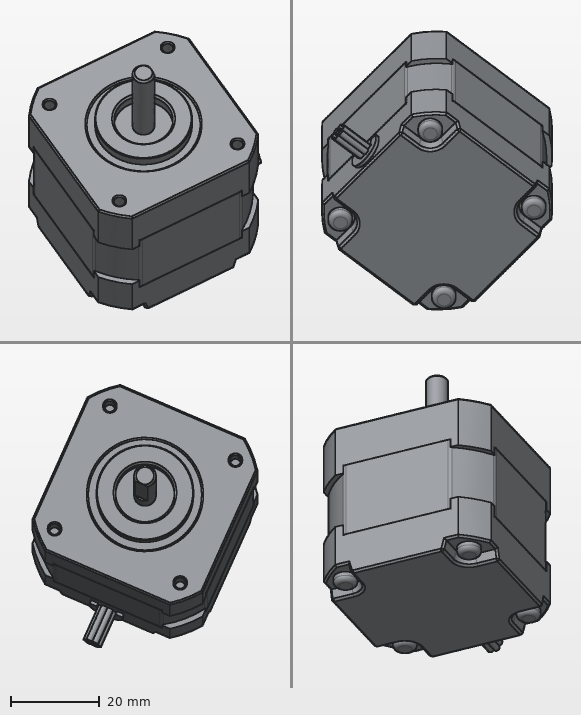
import cadquery as cq
import math

BODY_WIDTH = 42.0
BODY_HEIGHT = 39.0
BODY_CORNER_RADIUS = 26.04
BODY_EDGE_CHAMFER = 0.5
TOP_EDGE_CHAMFER = 0.4

STACK_BOTTOM = 13.0
STACK_TOP = 26.6
STACK_CORNER_RADIUS = 24.78
STACK_WIDTH = 41.9
STACK_BLEND_RADIUS = 1.6
WINDOW_WIDTH = 26.9
WINDOW_BOTTOM = 10.45
WINDOW_TOP = 28.65

BOSS_RADIUS = 11.0
BOSS_HEIGHT = 2.1
BOSS_EDGE_CHAMFER = 0.2
GROOVE_RADIUS = 13.2
GROOVE_DEPTH = 0.3
GROOVE_TAPER = 0.4
RECESS_RADIUS = 7.15
RECESS_TAPER = 0.5
RECESS_DEPTH = 2.75

SHAFT_RADIUS = 2.5
SHAFT_TOP = 59.0
SHAFT_CHAMFER = 0.5
FLAT_BOTTOM = 43.7
FLAT_DEPTH = 0.5

HOLE_SPACING = 31.0
HOLE_RADIUS = 1.25
HOLE_DEPTH = 4.5
HOLE_CHAMFER = 0.35

NOTCH_HEIGHT = 2.6
NOTCH_INNER_TOP = 12.25
NOTCH_INNER_BOTTOM = 11.55
NOTCH_SPAN = 20.0
SCREW_RADIUS = 2.75
SCREW_HEIGHT = 2.1
SCREW_ROUNDING = 1.2

CABLE_END = 29.6
GROMMET_HALF_WIDTH = 4.05
GROMMET_FACE = 21.85
GROMMET_CENTER_Z = 5.45
GROMMET_TOP = 7.6
SLOT_WIDTH = 4.6
WIRE_COUNT = 6
WIRE_RADIUS = 0.76
BUNDLE_RADIUS = 1.42
BUNDLE_CENTER_Z = 5.4

HALF_WIDTH = BODY_WIDTH / 2
CABLE_ROOT = HALF_WIDTH - 2.0


def fastener_points():
    half = HOLE_SPACING / 2
    return [(x, y) for x in (-half, half) for y in (-half, half)]


def rounded_square(width, corner_radius, bottom, top):
    """Square prism whose corners are cut back to a cylinder about the Z axis."""
    height = top - bottom
    square = cq.Workplane("XY").workplane(offset=bottom).rect(width, width).extrude(height)
    cylinder = cq.Workplane("XY").workplane(offset=bottom).circle(corner_radius).extrude(height)
    return square.intersect(cylinder)


def corner_notches():
    """Four corner pockets, open outwards and downwards.

    Their walls lean, and each inner corner is rounded about the axis of its screw.
    """
    pocket_center = NOTCH_INNER_TOP + NOTCH_SPAN / 2
    corner_radius = HOLE_SPACING / 2 - NOTCH_INNER_TOP
    widening = math.degrees(math.atan2(NOTCH_INNER_TOP - NOTCH_INNER_BOTTOM, NOTCH_HEIGHT))
    outline = cq.Sketch().rect(NOTCH_SPAN, NOTCH_SPAN).vertices().fillet(corner_radius)
    return (
        cq.Workplane("XY")
        .workplane(offset=NOTCH_HEIGHT)
        .rect(2 * pocket_center, 2 * pocket_center, forConstruction=True)
        .vertices()
        .placeSketch(outline)
        .extrude(-NOTCH_HEIGHT, taper=-widening)
    )


def is_notch_mouth_edge(edge):
    """True for edges between a notch and the outside faces of the housing."""
    center = edge.Center()
    nearest_mouth_point = math.hypot(HALF_WIDTH, NOTCH_INNER_BOTTOM)
    is_outside = math.hypot(center.x, center.y) > nearest_mouth_point
    is_low = center.z < NOTCH_HEIGHT + BODY_EDGE_CHAMFER
    is_above_foot = center.z > BODY_EDGE_CHAMFER
    return is_outside and is_low and is_above_foot


def make_housing():
    housing = rounded_square(BODY_WIDTH, BODY_CORNER_RADIUS, 0, BODY_HEIGHT)
    housing = housing.faces(">Z").edges().chamfer(TOP_EDGE_CHAMFER)
    housing = housing.cut(corner_notches())
    housing = housing.edges().filter(is_notch_mouth_edge).chamfer(BODY_EDGE_CHAMFER)
    return housing.faces("<Z").edges().chamfer(BODY_EDGE_CHAMFER)


def expose_stack(housing):
    """Replace the waist and the side windows of the housing by the slimmer stack."""
    stack = rounded_square(STACK_WIDTH, STACK_CORNER_RADIUS, WINDOW_BOTTOM, WINDOW_TOP)
    stack = stack.edges("|Z").fillet(STACK_BLEND_RADIUS)
    waist_height = STACK_TOP - STACK_BOTTOM
    waist = cq.Workplane("XY").workplane(offset=STACK_BOTTOM).rect(2 * BODY_WIDTH, 2 * BODY_WIDTH)
    removed = waist.extrude(waist_height)
    window_height = WINDOW_TOP - WINDOW_BOTTOM
    window_plane = cq.Workplane("XY").workplane(offset=WINDOW_BOTTOM)
    removed = removed.union(window_plane.rect(2 * BODY_WIDTH, WINDOW_WIDTH).extrude(window_height))
    removed = removed.union(window_plane.rect(WINDOW_WIDTH, 2 * BODY_WIDTH).extrude(window_height))
    return housing.cut(removed.cut(stack))


def add_boss(body):
    floor = BODY_HEIGHT - GROOVE_DEPTH
    boss_top = BODY_HEIGHT + BOSS_HEIGHT
    groove_section = [
        (0, floor),
        (GROOVE_RADIUS - GROOVE_TAPER, floor),
        (GROOVE_RADIUS, BODY_HEIGHT),
        (0, BODY_HEIGHT),
    ]
    groove = cq.Workplane("XZ").polyline(groove_section).close().revolve(360, (0, 0), (0, 1))
    boss = cq.Workplane("XY").workplane(offset=floor).circle(BOSS_RADIUS).extrude(boss_top - floor)
    boss = boss.faces(">Z").edges().chamfer(BOSS_EDGE_CHAMFER)
    recess_section = [
        (0, boss_top - RECESS_DEPTH),
        (RECESS_RADIUS - RECESS_TAPER, boss_top - RECESS_DEPTH),
        (RECESS_RADIUS - RECESS_TAPER, boss_top - RECESS_TAPER),
        (RECESS_RADIUS, boss_top),
        (0, boss_top),
    ]
    recess = cq.Workplane("XZ").polyline(recess_section).close().revolve(360, (0, 0), (0, 1))
    return body.cut(groove).union(boss).cut(recess)


def make_shaft():
    start = BODY_HEIGHT / 2
    shaft = cq.Workplane("XY").workplane(offset=start).circle(SHAFT_RADIUS).extrude(SHAFT_TOP - start)
    shaft = shaft.faces(">Z").edges().chamfer(SHAFT_CHAMFER)
    flat = (
        cq.Workplane("XY")
        .workplane(offset=FLAT_BOTTOM)
        .center(0, 2 * SHAFT_RADIUS - FLAT_DEPTH)
        .rect(2 * SHAFT_RADIUS, 2 * SHAFT_RADIUS)
        .extrude(SHAFT_TOP - FLAT_BOTTOM)
    )
    return shaft.cut(flat)


def drill_holes(body):
    hole_section = [
        (0, BODY_HEIGHT - HOLE_DEPTH),
        (HOLE_RADIUS, BODY_HEIGHT - HOLE_DEPTH),
        (HOLE_RADIUS, BODY_HEIGHT - HOLE_CHAMFER),
        (HOLE_RADIUS + HOLE_CHAMFER, BODY_HEIGHT),
        (0, BODY_HEIGHT),
    ]
    hole = cq.Workplane("XZ").polyline(hole_section).close().revolve(360, (0, 0), (0, 1))
    for x, y in fastener_points():
        body = body.cut(hole.translate((x, y, 0)))
    return body


def make_screws():
    heads = (
        cq.Workplane("XY")
        .workplane(offset=NOTCH_HEIGHT)
        .pushPoints(fastener_points())
        .circle(SCREW_RADIUS)
        .extrude(-SCREW_HEIGHT)
    )
    return heads.faces("<Z").edges().fillet(SCREW_ROUNDING)


def make_grommet():
    """Plate with a square top and a half-round bottom, slotted from above for the wires."""
    root_plane = cq.Workplane("XZ", origin=(0, CABLE_ROOT, GROMMET_CENTER_Z))
    top = GROMMET_TOP - GROMMET_CENTER_Z
    outline = (
        root_plane.moveTo(-GROMMET_HALF_WIDTH, top)
        .lineTo(-GROMMET_HALF_WIDTH, 0)
        .threePointArc((0, -GROMMET_HALF_WIDTH), (GROMMET_HALF_WIDTH, 0))
        .lineTo(GROMMET_HALF_WIDTH, top)
        .close()
    )
    grommet = outline.extrude(CABLE_ROOT - GROMMET_FACE)
    slot_depth = GROMMET_FACE - HALF_WIDTH
    slot = (
        cq.Workplane("XY", origin=(0, HALF_WIDTH + slot_depth / 2, BUNDLE_CENTER_Z))
        .rect(SLOT_WIDTH, slot_depth)
        .extrude(GROMMET_TOP - BUNDLE_CENTER_Z)
    )
    return grommet.cut(slot)


def make_wires():
    """Ring of wires that just overlap their neighbours."""
    bundle_plane = cq.Workplane("XZ", origin=(0, CABLE_ROOT, BUNDLE_CENTER_Z))
    wires = cq.Workplane("XZ")
    for index in range(WIRE_COUNT):
        angle = 2 * math.pi * index / WIRE_COUNT
        center = (BUNDLE_RADIUS * math.cos(angle), BUNDLE_RADIUS * math.sin(angle))
        wire = bundle_plane.center(*center).circle(WIRE_RADIUS).extrude(CABLE_ROOT - CABLE_END)
        wires = wires.union(wire)
    return wires


body = expose_stack(make_housing())
body = drill_holes(add_boss(body))
result = body.union(make_shaft()).union(make_screws()).union(make_grommet()).union(make_wires())